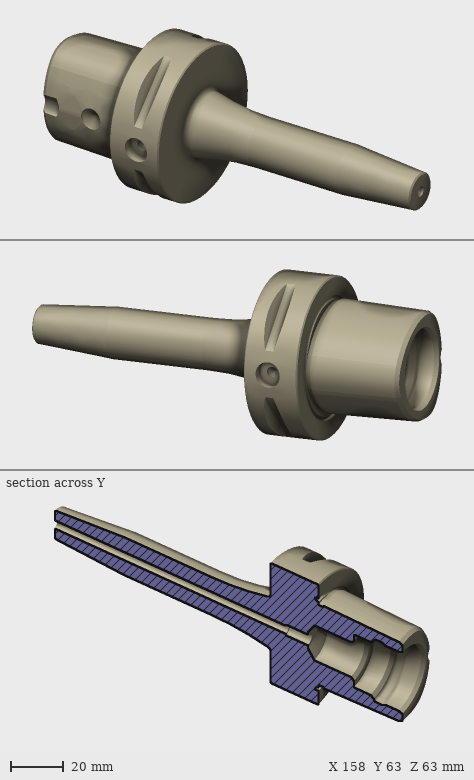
import cadquery as cq
import math


SHANK_LENGTH = 38.0
SHANK_DIAMETER = 44.15
TAPER = 1 / 20
LOBE_HEIGHT = 1.40
LOBE_COUNT = 3
LOBE_HALF_ANGLE = 28.0
POINTS_PER_FACE = 9
SHANK_CHAMFER_LENGTH = 1.6
SHANK_CHAMFER_HEIGHT = 0.9
NECK_LENGTH = 1.9
NECK_UNDERCUT = 0.6

FLANGE_RADIUS = 31.5
FLANGE_WIDTH = 22.0
FLANGE_CHAMFER = 0.5
FACE_GROOVE_OUTER_RADIUS = 24.0
FACE_GROOVE_INNER_RADIUS = 22.4

NOTCH_X = 12.0
NOTCH_FLOOR_WIDTH = 3.4
NOTCH_FLOOR_RADIUS = 27.8
NOTCH_SIDE_ANGLE = 30.0
NOTCH_ANGLES = (45, 135, 225, 315)
CHIP_HOLE_RADIUS = 5.0
CHIP_HOLE_DEPTH = 4.5
CHIP_MARK_RADIUS = 2.2
CHIP_MARK_DEPTH = 1.0
HOLE_ANGLES = (90, 270)

TOTAL_LENGTH = 158.0
NOSE_TIP_X = TOTAL_LENGTH - SHANK_LENGTH
NOSE_RADIUS = 10.0
NOSE_TIP_RADIUS = 7.5
NOSE_CONE_ANGLE = 4.5
NOSE_TIP_CHAMFER = 0.6
FLARE_START_X = 48.6
FLARE_RADIUS = 100.0
ROOT_FILLET = 2.0

MOUTH_RADIUS = 16.1
BORE_RADIUS = 15.3
MOUTH_CHAMFER_LENGTH = 1.7
BORE_DEPTH = 7.8
GROOVE_RADIUS = 16.2
GROOVE_LEAD_LENGTH = 1.6
GROOVE_END_DEPTH = 11.9
GROOVE_ROUNDING = 1.1
LAND_RADIUS = 13.7
LAND_MOUTH_DEPTH = 14.4
LAND_DEPTH = 22.0
SCREW_MOUTH_RADIUS = 10.4
SCREW_RADIUS = 9.0
SCREW_DEPTH = 40.0
DRILL_POINT_ANGLE = 118.0
COOLANT_MOUTH_RADIUS = 4.2
COOLANT_STEP_RADIUS = 2.7
COOLANT_RADIUS = 2.0
COOLANT_STEP_LENGTH = 10.0

KEYWAY_RADIUS = 4.8
KEYWAY_FLOOR_Y = 17.6
KEYWAY_LENGTH = 6.5
DIMPLE_X = -15.6
DIMPLE_RADIUS = 4.4
DIMPLE_DEPTH = 1.0
DIMPLE_CLEARANCE = 1.0

DRILL_SLOPE = 1 / math.tan(math.radians(DRILL_POINT_ANGLE / 2))


def revolve_x(profile):
    """Solid of revolution about the X axis from an open profile of x and radius."""
    return profile.close().revolve(360, (0, 0, 0), (1, 0, 0))


def drill(radius, depth):
    """Drill body starting at the origin and running along +Z, with a conical point."""
    tip = depth + radius * DRILL_SLOPE
    profile = cq.Workplane("XZ").polyline([(0, 0), (radius, 0), (radius, depth), (0, tip)])
    return profile.close().revolve(360, (0, 0, 0), (0, 1, 0))


def polygon_point(x, mean_radius, normal_angle):
    """Point of the lobed outline whose outward normal has the given angle from +Y."""
    support = mean_radius + LOBE_HEIGHT * math.cos(LOBE_COUNT * normal_angle)
    slope = -LOBE_COUNT * LOBE_HEIGHT * math.sin(LOBE_COUNT * normal_angle)
    y = support * math.cos(normal_angle) - slope * math.sin(normal_angle)
    z = support * math.sin(normal_angle) + slope * math.cos(normal_angle)
    return cq.Vector(x, y, z)


def polygon_face_edge(x, mean_radius, start, end):
    """Stretch of the lobed outline between two normal angles."""
    step = (end - start) / (POINTS_PER_FACE - 1)
    points = [polygon_point(x, mean_radius, start + i * step) for i in range(POINTS_PER_FACE)]
    tangents = [cq.Vector(0, -math.sin(a), math.cos(a)) for a in (start, end)]
    return cq.Edge.makeSpline(points, tangents=tangents)


def polygon_wire(x, mean_radius):
    """Closed outline of alternating lobe and flat faces at position x."""
    half_lobe = math.radians(LOBE_HALF_ANGLE)
    pitch = 2 * math.pi / LOBE_COUNT
    edges = []
    for i in range(LOBE_COUNT):
        lobe = i * pitch
        edges.append(polygon_face_edge(x, mean_radius, lobe - half_lobe, lobe + half_lobe))
        edges.append(polygon_face_edge(x, mean_radius, lobe + half_lobe, lobe + pitch - half_lobe))
    return cq.Wire.assembleEdges(edges)


def shank_radius(x):
    """Mean radius of the tapered shank at position x."""
    return (SHANK_DIAMETER + TAPER * x) / 2


def polygon_loft(sections):
    """Solid through polygon outlines given as (x, mean radius)."""
    wires = [polygon_wire(x, mean_radius) for x, mean_radius in sections]
    return cq.Workplane(cq.Solid.makeLoft(wires, True))


def make_shank():
    """Chamfered taper polygon with an undercut neck between it and the flange."""
    chamfer_end = -SHANK_LENGTH + SHANK_CHAMFER_LENGTH
    taper = polygon_loft([
        (-SHANK_LENGTH, shank_radius(-SHANK_LENGTH) - SHANK_CHAMFER_HEIGHT),
        (chamfer_end, shank_radius(chamfer_end)),
        (-NECK_LENGTH, shank_radius(-NECK_LENGTH)),
    ])
    neck_radius = shank_radius(-NECK_LENGTH) - NECK_UNDERCUT
    return taper.union(polygon_loft([(-NECK_LENGTH, neck_radius), (0, neck_radius)]))


def make_flange():
    """Chamfered disc with a rounded groove in its shank-side face."""
    flange = cq.Workplane("YZ").circle(FLANGE_RADIUS).extrude(FLANGE_WIDTH).edges().chamfer(FLANGE_CHAMFER)
    groove_depth = FACE_GROOVE_OUTER_RADIUS - FACE_GROOVE_INNER_RADIUS
    groove = revolve_x(
        cq.Workplane("XZ")
        .moveTo(0, FACE_GROOVE_INNER_RADIUS)
        .radiusArc((groove_depth, FACE_GROOVE_OUTER_RADIUS), -groove_depth)
        .lineTo(0, FACE_GROOVE_OUTER_RADIUS)
    )
    return flange.cut(groove)


def make_nose():
    """Stem that flares into the flange and ends in a slim cone."""
    cone_length = (NOSE_RADIUS - NOSE_TIP_RADIUS) / math.tan(math.radians(NOSE_CONE_ANGLE))
    root_x = FLANGE_WIDTH + ROOT_FILLET
    flare_angle = math.asin((FLARE_START_X - root_x) / FLARE_RADIUS)
    flare_center_radius = NOSE_RADIUS + FLARE_RADIUS
    root_radius = flare_center_radius - FLARE_RADIUS * math.cos(flare_angle)
    flare_mid = (
        FLARE_START_X - FLARE_RADIUS * math.sin(flare_angle / 2),
        flare_center_radius - FLARE_RADIUS * math.cos(flare_angle / 2),
    )
    nose = revolve_x(
        cq.Workplane("XZ")
        .moveTo(FLANGE_WIDTH, 0)
        .lineTo(FLANGE_WIDTH, root_radius + ROOT_FILLET)
        .radiusArc((root_x, root_radius), -ROOT_FILLET)
        .threePointArc(flare_mid, (FLARE_START_X, NOSE_RADIUS))
        .lineTo(NOSE_TIP_X - cone_length, NOSE_RADIUS)
        .lineTo(NOSE_TIP_X, NOSE_TIP_RADIUS)
        .lineTo(NOSE_TIP_X, 0)
    )
    return nose.faces(">X").edges().chamfer(NOSE_TIP_CHAMFER)


def make_bore():
    """Clamping bore, screw hole and the coolant passage through the nose."""
    end = -SHANK_LENGTH
    groove_end = end + GROOVE_END_DEPTH
    groove_exit_radius = GROOVE_RADIUS - GROOVE_ROUNDING
    ledge_x = end + LAND_DEPTH
    screw_end = end + SCREW_DEPTH
    cone_end = screw_end + (SCREW_RADIUS - COOLANT_MOUTH_RADIUS) * DRILL_SLOPE
    step_end = cone_end + COOLANT_STEP_LENGTH
    clamping_bore = revolve_x(
        cq.Workplane("XZ")
        .moveTo(end, 0)
        .lineTo(end, MOUTH_RADIUS)
        .lineTo(end + MOUTH_CHAMFER_LENGTH, BORE_RADIUS)
        .lineTo(end + BORE_DEPTH, BORE_RADIUS)
        .lineTo(end + BORE_DEPTH + GROOVE_LEAD_LENGTH, GROOVE_RADIUS)
        .lineTo(groove_end, GROOVE_RADIUS)
        .radiusArc((groove_end + GROOVE_ROUNDING, groove_exit_radius), GROOVE_ROUNDING)
        .lineTo(end + LAND_MOUTH_DEPTH, LAND_RADIUS)
        .lineTo(ledge_x, LAND_RADIUS)
        .lineTo(ledge_x, 0)
    )
    screw_hole = revolve_x(cq.Workplane("XZ").polyline([
        (ledge_x, 0),
        (ledge_x, SCREW_MOUTH_RADIUS),
        (ledge_x + SCREW_MOUTH_RADIUS - SCREW_RADIUS, SCREW_RADIUS),
        (screw_end, SCREW_RADIUS),
        (cone_end, COOLANT_MOUTH_RADIUS),
        (cone_end, COOLANT_STEP_RADIUS),
        (step_end, COOLANT_STEP_RADIUS),
        (step_end, COOLANT_RADIUS),
        (NOSE_TIP_X, COOLANT_RADIUS),
        (NOSE_TIP_X, 0),
    ]))
    return clamping_bore.union(screw_hole)


def make_notch():
    """V-sided cutter for the notch on the +Z side of the flange."""
    height = FLANGE_RADIUS - NOTCH_FLOOR_RADIUS
    half_floor = NOTCH_FLOOR_WIDTH / 2
    half_mouth = half_floor + height * math.tan(math.radians(NOTCH_SIDE_ANGLE))
    return (
        cq.Workplane("XZ")
        .polyline([
            (NOTCH_X - half_floor, NOTCH_FLOOR_RADIUS),
            (NOTCH_X + half_floor, NOTCH_FLOOR_RADIUS),
            (NOTCH_X + half_mouth, FLANGE_RADIUS),
            (NOTCH_X - half_mouth, FLANGE_RADIUS),
        ])
        .close()
        .extrude(FLANGE_RADIUS, both=True)
    )


def make_chip_hole():
    """Flat-bottomed hole with a centre mark, on the +Z side of the flange."""
    floor = FLANGE_RADIUS - CHIP_HOLE_DEPTH
    hole = cq.Workplane("XY", (NOTCH_X, 0, floor)).circle(CHIP_HOLE_RADIUS).extrude(CHIP_HOLE_DEPTH)
    mark = drill(CHIP_MARK_RADIUS, CHIP_MARK_DEPTH).rotate((0, 0, 0), (1, 0, 0), 180)
    return hole.union(mark.translate((NOTCH_X, 0, floor)))


def make_keyway():
    """Round-bottomed slot with a conical end, open at the shank end face."""
    axis_y = -(KEYWAY_FLOOR_Y + KEYWAY_RADIUS)
    cutter = drill(KEYWAY_RADIUS, KEYWAY_LENGTH).rotate((0, 0, 0), (0, 1, 0), 90)
    return cutter.translate((-SHANK_LENGTH, axis_y, 0))


def make_dimple():
    """Blind drilled hole in the shank flat."""
    surface_y = -(shank_radius(DIMPLE_X) - LOBE_HEIGHT)
    cutter = drill(DIMPLE_RADIUS, DIMPLE_DEPTH + DIMPLE_CLEARANCE).rotate((0, 0, 0), (1, 0, 0), -90)
    return cutter.translate((DIMPLE_X, surface_y - DIMPLE_CLEARANCE, 0))


body = make_shank().union(make_flange()).union(make_nose())
body = body.cut(make_bore()).cut(make_keyway()).cut(make_dimple())
for notch_angle in NOTCH_ANGLES:
    body = body.cut(make_notch().rotate((0, 0, 0), (1, 0, 0), notch_angle))
for hole_angle in HOLE_ANGLES:
    body = body.cut(make_chip_hole().rotate((0, 0, 0), (1, 0, 0), hole_angle))
result = body